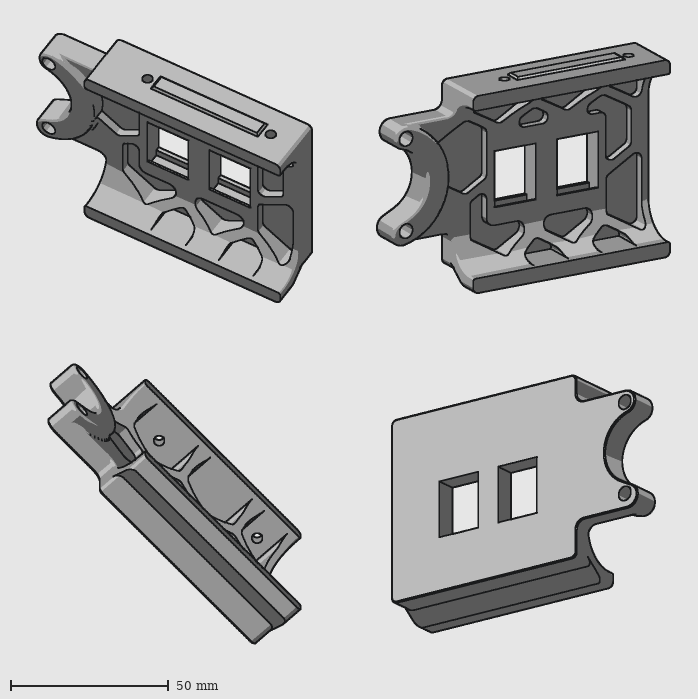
import cadquery as cq
import math

length = 96.15
depth = 20.0

block_left = 23.8
block_bottom = 4.1
block_top = 66.1
corner_radius = 2.0
back_chamfer = 0.4

lip_blank_top = 19.2
slope_start_y = -6.2
slope_start_z = 6.2
slope_end_y = -14.4

floor_y = -7.1
trough_radius = 10.9
trough_bottom = 5.0
trough_top = 61.15
trough_edge_radius = 1.0

arm_bottom = 16.5
arm_top = 56.4
arm_fillet = 3.0
upper_ear_radius = 3.9
upper_ear_x = 4.9
lower_ear_radius = 4.0
lower_ear_x = lower_ear_radius
bore_radius = 12.2
bore_x = 0.6
bore_z = 37.0
ear_hole_x = 4.9
ear_hole_zs = (21.5, 52.4)
ear_hole_diameter = 4.8

crescent_x = 0.6
crescent_z = 36.6
crescent_radius = 20.5
crescent_y = -10.4
crescent_edge_radius = 1.2
crescent_base_radius = 1.0

window_width = 15.1
window_height = 18.8
window_bottom = 22.5
window_lefts = (39.3, 62.2)
groove_front_y = -6.3
groove_back_y = -1.5
groove_depth = 2.4

pocket_floor_y = -4.1
lip_pocket_floor_y = -6.9
hex_apothem = 10.9
flank_angle = math.radians(30)
point_height = hex_apothem / math.cos(flank_angle)
long_half_width = 17.3
hex_pitch = 24.95
hex_row_pitch = hex_pitch * math.sqrt(3) / 2
hex_first_x = 28.7
hex_first_z = 41.2
pocket_radius = 2.0
frame_bottom_radius = 2.8
tolerance = 0.01
pocket_right = 93.2
pocket_top = 61.3
pocket_bottom = 3.6
frame_left = 36.3
frame_right = 80.1
frame_bottom = 16.5
frame_top = 47.5

rail_left = 44.1
rail_right = 83.65
rail_height = 0.8
rail_chamfer = 0.72
rail_width = 6.1
rail_y = -10.0
screw_xs = (41.2, 86.6)
screw_diameter = 3.4


def box(x0, x1, y0, y1, z0, z1):
    return cq.Workplane("XY").box(x1 - x0, y1 - y0, z1 - z0, centered=False).translate((x0, y0, z0))


def cylinder_y(x, z, radius, y_front):
    """Cylinder along Y from the back face to y_front."""
    return cq.Workplane("XZ").center(x, z).circle(radius).extrude(-y_front)


def circle_point(x, z, radius, angle):
    return (x + radius * math.cos(angle), z + radius * math.sin(angle))


def arm_prism(y_front, right):
    """Arm outline, ending on the right at the given X, extruded from the back face to y_front."""
    upper_ear_z = arm_top - upper_ear_radius
    lower_ear_z = arm_bottom + lower_ear_radius

    upper_angle = math.atan2(upper_ear_z - bore_z, upper_ear_x - bore_x)
    upper_joint = circle_point(bore_x, bore_z, bore_radius, upper_angle)

    to_ear = math.atan2(lower_ear_z - bore_z, lower_ear_x - bore_x)
    spacing = math.hypot(lower_ear_x - bore_x, lower_ear_z - bore_z)
    flank_turn = to_ear + math.acos((bore_radius + lower_ear_radius) / spacing)
    bore_end = circle_point(bore_x, bore_z, bore_radius, flank_turn)
    flank_end = circle_point(lower_ear_x, lower_ear_z, lower_ear_radius, flank_turn + math.pi)

    outline = (
        cq.Workplane("XZ")
        .moveTo(right, arm_top)
        .lineTo(upper_ear_x, arm_top)
        .threePointArc((upper_ear_x - upper_ear_radius, upper_ear_z), upper_joint)
        .threePointArc((bore_x + bore_radius, bore_z), bore_end)
        .lineTo(*flank_end)
        .threePointArc((lower_ear_x - lower_ear_radius, lower_ear_z), (lower_ear_x, arm_bottom))
        .lineTo(right, arm_bottom)
        .close()
    )
    return outline.extrude(-y_front)


def make_body():
    block = box(block_left, length, -depth, 0, block_bottom, block_top)
    block = block.edges("|Y").fillet(corner_radius)
    lip = box(block_left, length, -depth, 0, 0, lip_blank_top)
    lip = lip.edges("|Y and <Z").fillet(corner_radius)
    above_slope = (
        cq.Workplane("YZ", origin=(block_left, 0, 0))
        .polyline([
            (-depth, 0),
            (slope_end_y, 0),
            (slope_start_y, slope_start_z),
            (slope_start_y, lip_blank_top),
            (-depth, lip_blank_top),
        ])
        .close()
        .extrude(length - block_left)
    )
    body = block.union(lip.intersect(above_slope))
    body = body.union(arm_prism(-depth, block_left + corner_radius))
    for z in (arm_bottom, arm_top):
        inner_corner = cq.selectors.NearestToPointSelector((block_left, -depth / 2, z))
        body = body.edges(inner_corner).fillet(arm_fillet)
    return body.faces(">Y").edges().chamfer(back_chamfer)


def cut_trough(body):
    centre_y = floor_y - trough_radius
    bend = trough_radius * math.sqrt(0.5)
    low = trough_bottom + trough_radius
    high = trough_top - trough_radius
    trough = (
        cq.Workplane("YZ")
        .moveTo(-depth, trough_bottom)
        .lineTo(centre_y, trough_bottom)
        .threePointArc((centre_y + bend, low - bend), (floor_y, low))
        .lineTo(floor_y, high)
        .threePointArc((centre_y + bend, high + bend), (centre_y, trough_top))
        .lineTo(-depth, trough_top)
        .close()
        .extrude(length)
    )
    body = body.cut(trough)

    right_rim = cq.selectors.NearestToPointSelector((length, floor_y, bore_z))
    arm_rim = cq.selectors.NearestToPointSelector(((lower_ear_x + block_left) / 2, floor_y, arm_bottom))
    body = body.edges(right_rim).fillet(trough_edge_radius)
    return body.edges(arm_rim).fillet(trough_edge_radius)


def add_crescent(body):
    arm = arm_prism(crescent_y, block_left)
    crescent = arm.intersect(cylinder_y(crescent_x, crescent_z, crescent_radius, crescent_y))
    crescent = crescent.faces("<Y").edges().fillet(crescent_edge_radius)
    crescent = crescent.faces(">Y").edges().chamfer(back_chamfer)
    body = body.union(crescent)
    base = cq.selectors.NearestToPointSelector((crescent_x + crescent_radius, floor_y, crescent_z))
    return body.edges(base).fillet(crescent_base_radius)


def make_pocket(
    column,
    row,
    left_half,
    right_half,
    right_limit=pocket_right,
    top_limit=pocket_top,
    back_limit=pocket_floor_y,
):
    """Pointed pocket whose flanks end at the given half widths, clipped by its limits and the frame.

    Columns count half pitches to the right and rows count upward from the first hexagon.
    """
    x = hex_first_x + column * hex_pitch / 2
    z = hex_first_z + row * hex_row_pitch
    left_rise = point_height - left_half * math.tan(flank_angle)
    right_rise = point_height - right_half * math.tan(flank_angle)
    corners = [
        (0, point_height),
        (right_half, right_rise),
        (right_half, -right_rise),
        (0, -point_height),
        (-left_half, -left_rise),
        (-left_half, left_rise),
    ]
    blank = cq.Workplane("XZ").center(x, z).polyline(corners).close().extrude(depth)
    limits = box(0, right_limit, -depth, back_limit, pocket_bottom, top_limit)
    frame = box(frame_left, frame_right, -depth, 0, frame_bottom, frame_top)
    pocket = blank.intersect(limits).cut(frame)

    def meets_frame_bottom(edge):
        return abs(edge.Center().z - frame_bottom) < tolerance

    pocket = pocket.edges("|Y").filter(lambda edge: not meets_frame_bottom(edge)).fillet(pocket_radius)
    frame_corners = pocket.edges("|Y").filter(meets_frame_bottom)
    if frame_corners.size() > 0:
        pocket = frame_corners.fillet(frame_bottom_radius)
    return pocket


def make_pockets():
    full = hex_apothem
    long = long_half_width
    return [
        make_pocket(1, 1, full, full),
        make_pocket(3, 1, full, full),
        make_pocket(5, 1, full, full),
        make_pocket(0, 0, full, full, right_limit=frame_left),
        make_pocket(2, 0, full, full),
        make_pocket(4, 0, full, full),
        make_pocket(1, -1, full, long),
        make_pocket(3, -1, long, long, top_limit=frame_bottom),
        make_pocket(5, -1, full, full),
        make_pocket(2, -2, long, long, back_limit=lip_pocket_floor_y),
        make_pocket(4, -2, long, long, back_limit=lip_pocket_floor_y),
    ]


def cut_pockets(body):
    crescent = cylinder_y(crescent_x, crescent_z, crescent_radius, -depth)
    lips = box(0, length, -depth, 0, trough_bottom, trough_top)
    for pocket in make_pockets():
        body = body.cut(pocket.cut(crescent).intersect(lips))
    return body


def cut_windows(body):
    for left in window_lefts:
        right = left + window_width
        body = body.cut(box(left, right, -depth, 0, window_bottom, window_bottom + window_height))
        body = body.cut(
            box(left, right, groove_front_y, groove_back_y, window_bottom - groove_depth, window_bottom)
        )
    return body


def cut_ear_holes(body):
    for z in ear_hole_zs:
        body = body.cut(cylinder_y(ear_hole_x, z, ear_hole_diameter / 2, -depth))
    return body


def add_rail(body):
    rail = box(
        rail_left, rail_right,
        rail_y - rail_width / 2, rail_y + rail_width / 2,
        block_top, block_top + rail_height,
    )
    return body.union(rail.faces(">Z").edges().chamfer(rail_chamfer))


def cut_screw_holes(body):
    for x in screw_xs:
        hole = cq.Workplane("XY", origin=(x, rail_y, bore_z)).circle(screw_diameter / 2)
        body = body.cut(hole.extrude(block_top - bore_z))
    return body


result = cut_trough(make_body())
result = add_crescent(result)
result = cut_pockets(result)
result = cut_windows(result)
result = cut_ear_holes(result)
result = add_rail(result)
result = cut_screw_holes(result)